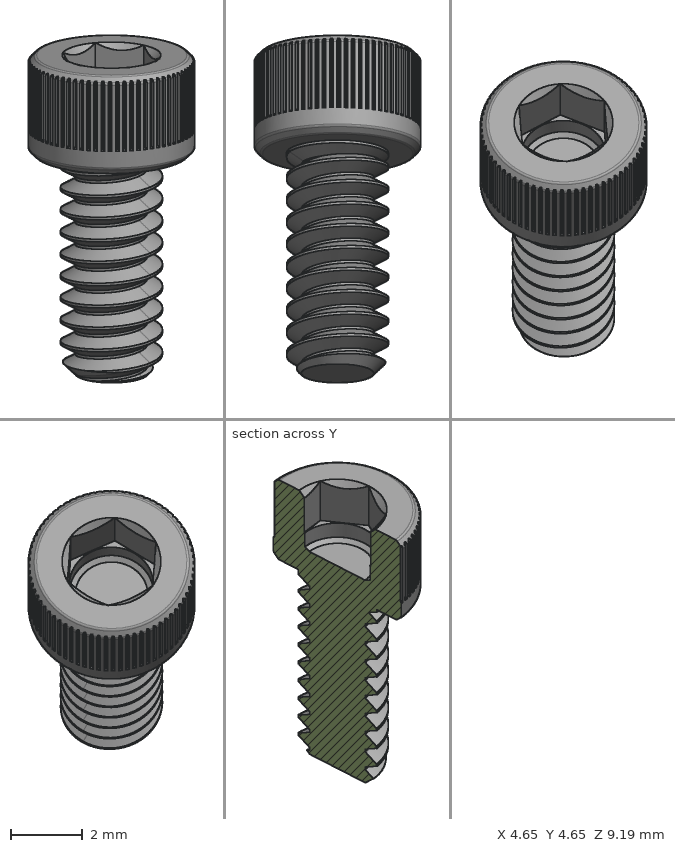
import cadquery as cq
import math


head_radius = 4.65 / 2
head_height = 2.8448
head_chamfer = 0.19
head_edge_fillet = 0.1

groove_count = 72
groove_depth = 0.05
groove_half_width = 0.05
groove_floor_half_width = 0.02
knurl_bottom = 0.70

socket_across_flats = 2.381
socket_depth = 1.40
recess_radius = 1.17
recess_floor_radius = 1.01
recess_wall = 0.5
recess_cone_angle = 30.0

thread_radius = 2.845 / 2
pitch = 0.635
turn_count = 10
shank_length = turn_count * pitch
thread_angle = 60.0
flank_slope = math.tan(math.radians(thread_angle / 2))
crest_flat = pitch / 8
root_flat = pitch / 8
thread_depth = (pitch - crest_flat - root_flat) / 2 / flank_slope
root_radius = thread_radius - thread_depth
collar_height = pitch / 8
crest_height_at_x = -collar_height - crest_flat / 2
collar_radius = thread_radius + 0.002
ridge_embedment = 0.02

overshoot = 0.1


def make_head():
    """Cylinder with chamfers at both ends, whose edges are rounded."""
    head = cq.Workplane("XY").circle(head_radius).extrude(head_height)
    head = head.faces("<Z or >Z").chamfer(head_chamfer)
    return head.edges("%CIRCLE").fillet(head_edge_fillet)


def make_knurl_groove():
    """Flat-floored groove on the +X side, open at the top, its lower end sloping out at 45 degrees."""
    valley_radius = head_radius - groove_depth
    reach = 1 + overshoot / groove_depth
    half_width = groove_floor_half_width + (groove_half_width - groove_floor_half_width) * reach
    outer_radius = valley_radius + groove_depth * reach
    prism = (
        cq.Workplane("XY", origin=(0, 0, knurl_bottom))
        .polyline(
            [
                (valley_radius, groove_floor_half_width),
                (valley_radius, -groove_floor_half_width),
                (outer_radius, -half_width),
                (outer_radius, half_width),
            ]
        )
        .close()
        .extrude(head_height)
    )
    slope_length = outer_radius - valley_radius
    valley_end = knurl_bottom + groove_depth
    runout = (
        cq.Workplane("XZ", origin=(0, half_width, 0))
        .polyline(
            [
                (valley_radius, valley_end),
                (outer_radius, valley_end - slope_length),
                (outer_radius, head_height + overshoot),
                (valley_radius, head_height + overshoot),
            ]
        )
        .close()
        .extrude(2 * half_width)
    )
    return prism.intersect(runout).val()


def cut_knurl(head):
    """Cut the grooves at equal angles around the head."""
    groove = make_knurl_groove()
    step = 360.0 / groove_count
    grooves = [groove.rotate((0, 0, 0), (0, 0, 1), i * step) for i in range(groove_count)]
    return head.cut(cq.Compound.makeCompound(grooves))


def make_socket_tool():
    """Hexagon with corners on the Y axis, a 45 degree lead-in and a round recess below it."""
    corner_radius = socket_across_flats / math.sqrt(3)
    floor_z = head_height - socket_depth
    cone_top_z = floor_z - recess_wall
    cone_height = (recess_radius - recess_floor_radius) * math.tan(math.radians(recess_cone_angle))
    hexagon = (
        cq.Workplane("XY", origin=(0, 0, floor_z))
        .transformed(rotate=(0, 0, 90))
        .polygon(6, 2 * corner_radius)
        .extrude(socket_depth)
    )
    bore = (
        cq.Workplane("XZ")
        .polyline(
            [
                (0, cone_top_z - cone_height),
                (recess_floor_radius, cone_top_z - cone_height),
                (recess_radius, cone_top_z),
                (recess_radius, head_height - corner_radius + recess_radius),
                (corner_radius, head_height),
                (0, head_height),
            ]
        )
        .close()
        .revolve(360, (0, 0), (0, 1))
    )
    return hexagon.union(bore)


def make_thread_ridge():
    """Right-hand helical ridge from one turn below the tip to above the head's underside.

    Each turn is four ruled faces between helices through the corners of the ridge profile.
    The profile's base lies inside the core, so that the ridge joins it.
    """
    base_radius = root_radius - ridge_embedment
    base_half = crest_flat / 2 + (thread_radius - base_radius) * flank_slope
    corners = [
        (thread_radius, crest_flat / 2),
        (thread_radius, -crest_flat / 2),
        (base_radius, -base_half),
        (base_radius, base_half),
    ]
    start_z = crest_height_at_x - shank_length - pitch
    ridge_turns = turn_count + 2
    faces = []
    for i in range(ridge_turns):
        turn_z = start_z + i * pitch
        helices = [
            cq.Wire.makeHelix(pitch, pitch, radius, center=cq.Vector(0, 0, turn_z + z)).Edges()[0]
            for radius, z in corners
        ]
        for k in range(len(helices)):
            faces.append(cq.Face.makeRuledSurface(helices[k - 1], helices[k]))
    for end_z in (start_z, start_z + ridge_turns * pitch):
        outline = [cq.Vector(radius, 0, end_z + z) for radius, z in corners]
        faces.append(cq.Face.makeFromWires(cq.Wire.makePolygon(outline, close=True)))
    return cq.Workplane(cq.Solid.makeSolid(cq.Shell.makeShell(faces)))


def make_threaded_rod():
    """Core cylinder with the helical ridge, both ending flat at Z = 0 and at the tip."""
    envelope = cq.Workplane("XY").circle(thread_radius + overshoot).extrude(-shank_length)
    core = cq.Workplane("XY").circle(root_radius).extrude(-shank_length)
    return core.union(make_thread_ridge().intersect(envelope))


def make_tip_chamfer_tool():
    """Ring that leaves a 45 degree cone from the thread root at the tip out to the full diameter."""
    outer_radius = thread_radius + overshoot
    rise = outer_radius - root_radius
    return (
        cq.Workplane("XZ", origin=(0, 0, -shank_length))
        .polyline(
            [
                (root_radius, 0),
                (outer_radius, rise),
                (outer_radius, -overshoot),
                (root_radius - overshoot, -overshoot),
            ]
        )
        .close()
        .revolve(360, (0, 0), (0, 1))
    )


def make_collar():
    """Collar under the head that tapers to the thread root at the flank angle."""
    taper_end_z = -collar_height - (collar_radius - root_radius) * flank_slope
    return (
        cq.Workplane("XZ")
        .polyline(
            [
                (0, overshoot),
                (collar_radius, overshoot),
                (collar_radius, -collar_height),
                (root_radius, taper_end_z),
                (0, taper_end_z),
            ]
        )
        .close()
        .revolve(360, (0, 0), (0, 1))
    )


def make_shank():
    """Threaded rod with the collar under the head and the chamfered tip."""
    return make_threaded_rod().union(make_collar()).cut(make_tip_chamfer_tool())


head = cut_knurl(make_head()).cut(make_socket_tool())
result = make_shank().union(head)